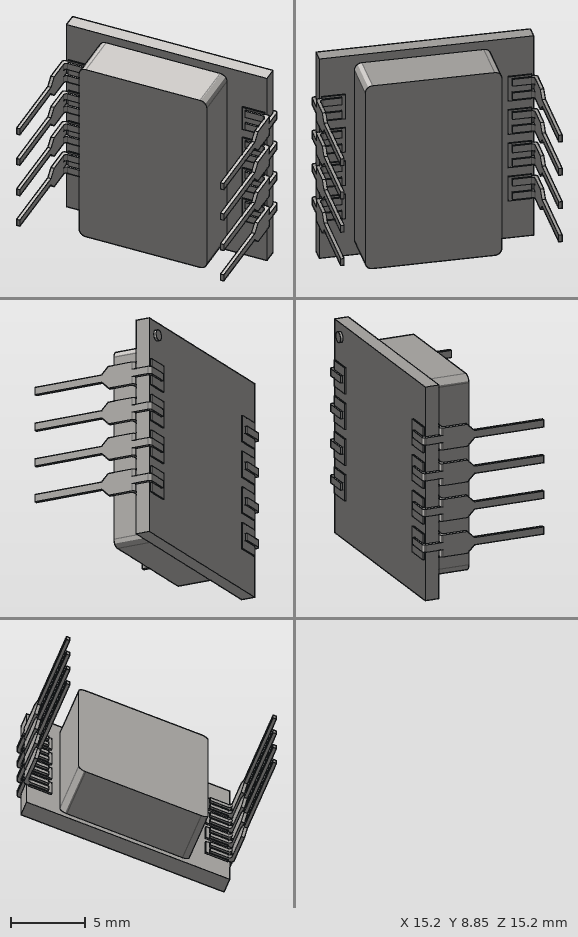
import cadquery as cq

OVERALL_WIDTH = 15.22
BOARD_HEIGHT = 15.24
BOARD_THICKNESS = 1.0

STRIP_THICKNESS = 0.25
LEAD_WIDTH = 0.52
SHOULDER_WIDTH = 3 * LEAD_WIDTH
SHOULDER_LENGTH = 2.0
TAPER_LENGTH = (SHOULDER_WIDTH - LEAD_WIDTH) / 2
LEAD_REACH = 7.6
CLIP_LENGTH = 1.75
BEND_RADIUS = 0.2
TERMINAL_PITCH = 2.55
TERMINAL_ROWS = 4

OUTER_X = OVERALL_WIDTH / 2
BOARD_WIDTH = OVERALL_WIDTH - 2 * STRIP_THICKNESS
EDGE_X = BOARD_WIDTH / 2
CLIP_TIP_X = OUTER_X - CLIP_LENGTH
HOOK_BACK_Y = BOARD_THICKNESS + STRIP_THICKNESS

PAD_THICKNESS = 0.1
PAD_HEIGHT = 1.85
PAD_INSET = 0.15
FRONT_PAD_LENGTH = 1.63
BACK_PAD_LENGTH = 1.74

MARK_DIAMETER = 0.75
MARK_THICKNESS = 0.18
MARK_X = 6.37
MARK_Z = 6.66

HOUSING_X = -0.26
HOUSING_WIDTH = 9.39
HOUSING_HEIGHT = 13.98
HOUSING_DEPTH = 3.3
HOUSING_CORNER_RADIUS = 0.5

ROW_LEVELS = [(row - (TERMINAL_ROWS - 1) / 2) * TERMINAL_PITCH for row in range(TERMINAL_ROWS)]


def bar(x_start, x_end, y_start, y_end, height):
    """Box between the given X and Y limits, centred on Z = 0."""
    return (
        cq.Workplane("XY")
        .box(x_end - x_start, y_end - y_start, height, centered=(False, False, True))
        .translate((x_start, y_start, 0))
    )


def upright_edge(x, y):
    """Selector for the Z-parallel edge of a Z-centred solid at the given X and Y."""
    return cq.selectors.NearestToPointSelector((x, y, 0))


def mirrored(shape):
    """Copy of a right-hand shape on the left-hand side."""
    return shape.mirror("YZ")


def make_prongs():
    """Two prongs that turn inward from the shoulder and lie on the front face of the board."""
    lead_wall = bar(EDGE_X, OUTER_X, -SHOULDER_LENGTH, 0, SHOULDER_WIDTH)
    flange = bar(CLIP_TIP_X, OUTER_X, -STRIP_THICKNESS, 0, SHOULDER_WIDTH)
    angle = lead_wall.union(flange)
    angle = angle.edges(upright_edge(OUTER_X, 0)).fillet(BEND_RADIUS)
    angle = angle.edges(upright_edge(EDGE_X, -STRIP_THICKNESS)).fillet(BEND_RADIUS)
    slot = bar(CLIP_TIP_X, EDGE_X, -STRIP_THICKNESS - BEND_RADIUS, 0, LEAD_WIDTH)
    return angle.cut(slot)


def make_hook():
    """Narrow strap that runs past the board edge and folds over the back face."""
    strap = bar(EDGE_X, OUTER_X, -SHOULDER_LENGTH, HOOK_BACK_Y, LEAD_WIDTH)
    fold = bar(CLIP_TIP_X, OUTER_X, BOARD_THICKNESS, HOOK_BACK_Y, LEAD_WIDTH)
    return strap.union(fold).edges(upright_edge(OUTER_X, HOOK_BACK_Y)).fillet(BEND_RADIUS)


def make_lead():
    """Tapered end of the shoulder and the straight lead in front of it."""
    taper_end_y = -SHOULDER_LENGTH - TAPER_LENGTH
    outline = [
        (-SHOULDER_LENGTH, SHOULDER_WIDTH / 2),
        (taper_end_y, LEAD_WIDTH / 2),
        (-LEAD_REACH, LEAD_WIDTH / 2),
        (-LEAD_REACH, -LEAD_WIDTH / 2),
        (taper_end_y, -LEAD_WIDTH / 2),
        (-SHOULDER_LENGTH, -SHOULDER_WIDTH / 2),
    ]
    return cq.Workplane("YZ", origin=(EDGE_X, 0, 0)).polyline(outline).close().extrude(STRIP_THICKNESS)


def make_terminals():
    """One terminal per row on each side of the board."""
    right_terminal = make_prongs().union(make_hook()).union(make_lead())
    terminals = []
    for level in ROW_LEVELS:
        placed = right_terminal.translate((0, 0, level))
        terminals += [placed, mirrored(placed)]
    return terminals


def make_pads():
    """Pair of front and back solder pads at every terminal."""
    pad_edge_x = EDGE_X - PAD_INSET
    front_pad = bar(pad_edge_x - FRONT_PAD_LENGTH, pad_edge_x, -PAD_THICKNESS, 0, PAD_HEIGHT)
    back_pad = bar(
        pad_edge_x - BACK_PAD_LENGTH, pad_edge_x, BOARD_THICKNESS, BOARD_THICKNESS + PAD_THICKNESS, PAD_HEIGHT
    )
    pads = []
    for level in ROW_LEVELS:
        for pad in (front_pad, back_pad):
            placed = pad.translate((0, 0, level))
            pads += [placed, mirrored(placed)]
    return pads


def make_board(terminals):
    """Plate with its pads and round mark; the terminals sit in matching recesses of the pads."""
    board = bar(-EDGE_X, EDGE_X, 0, BOARD_THICKNESS, BOARD_HEIGHT)
    for pad in make_pads():
        board = board.union(pad)
    mark = (
        cq.Workplane("XZ", origin=(MARK_X, BOARD_THICKNESS, MARK_Z))
        .circle(MARK_DIAMETER / 2)
        .extrude(-MARK_THICKNESS)
    )
    board = board.union(mark)
    for terminal in terminals:
        board = board.cut(terminal)
    return board


def make_housing():
    """Block with rounded corners on the front face of the board."""
    return (
        cq.Workplane("XZ", origin=(HOUSING_X, 0, 0))
        .rect(HOUSING_WIDTH, HOUSING_HEIGHT)
        .extrude(HOUSING_DEPTH)
        .edges("|Y")
        .fillet(HOUSING_CORNER_RADIUS)
    )


terminals = make_terminals()
board = make_board(terminals)
housing = make_housing()

result = cq.Compound.makeCompound([board.val(), housing.val(), *[terminal.val() for terminal in terminals]])